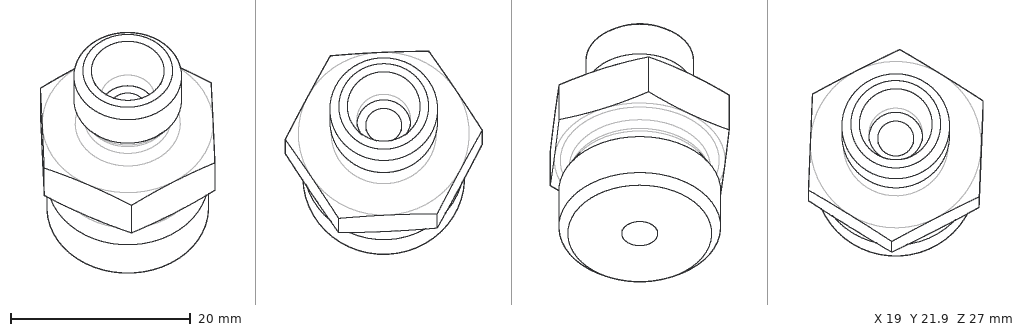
import cadquery as cq
import math

total_height = 27.0
hex_across_flats = 19.0
hex_bottom = 11.0
hex_top = 17.0
hex_chamfer_angle = math.radians(15)

end_chamfer = 1.0
bore_diameter = 4.0

neck_fillet = 1.0
neck_cone_angle = math.radians(30)

large_diameter = 18.0
large_neck_diameter = 15.7
large_thread_top = 6.4

small_diameter = 12.0
small_neck_diameter = 9.7
small_thread_bottom = 21.55

socket_mouth_diameter = 8.1
socket_diameter = 6.0
socket_depth = 7.0
socket_half_angle = math.radians(12)


def make_threaded_end(thread_diameter, neck_diameter, thread_length, neck_end):
    """Revolve one end, standing on Z = 0 with its neck flaring into a hexagon face at neck_end."""
    thread_radius = thread_diameter / 2
    neck_radius = neck_diameter / 2
    flare_radius = neck_radius + neck_fillet
    quarter_sag = neck_fillet * (1 - math.sqrt(0.5))

    cone_length = (thread_radius - neck_radius) / math.tan(neck_cone_angle)
    corner_height = thread_length + cone_length
    tangent_length = neck_fillet * math.tan(neck_cone_angle / 2)
    arc_end = corner_height + tangent_length
    arc_start_radius = neck_radius + tangent_length * math.sin(neck_cone_angle)
    arc_start = corner_height - tangent_length * math.cos(neck_cone_angle)
    arc_middle_radius = neck_radius + neck_fillet * (1 - math.cos(neck_cone_angle / 2))
    arc_middle = arc_end - neck_fillet * math.sin(neck_cone_angle / 2)

    return (
        cq.Workplane("XZ")
        .lineTo(thread_radius - end_chamfer, 0)
        .lineTo(thread_radius, end_chamfer)
        .lineTo(thread_radius, thread_length)
        .lineTo(arc_start_radius, arc_start)
        .threePointArc((arc_middle_radius, arc_middle), (neck_radius, arc_end))
        .lineTo(neck_radius, neck_end - neck_fillet)
        .threePointArc((neck_radius + quarter_sag, neck_end - quarter_sag), (flare_radius, neck_end))
        .lineTo(0, neck_end)
        .close()
        .revolve(360, (0, 0, 0), (0, 1, 0))
    )


def make_hexagon():
    """Hexagon with corners on the Y axis, its corners turned conical at both faces."""
    face_radius = hex_across_flats / 2
    corner_radius = face_radius / math.cos(math.pi / 6)
    corner_drop = (corner_radius - face_radius) * math.tan(hex_chamfer_angle)
    prism = (
        cq.Workplane("XY", origin=(0, 0, hex_bottom))
        .polygon(6, 2 * corner_radius)
        .extrude(hex_top - hex_bottom)
        .rotate((0, 0, 0), (0, 0, 1), 90)
    )
    envelope = (
        cq.Workplane("XZ")
        .moveTo(0, hex_bottom)
        .lineTo(face_radius, hex_bottom)
        .lineTo(corner_radius, hex_bottom + corner_drop)
        .lineTo(corner_radius, hex_top - corner_drop)
        .lineTo(face_radius, hex_top)
        .lineTo(0, hex_top)
        .close()
        .revolve(360, (0, 0, 0), (0, 1, 0))
    )
    return prism.intersect(envelope)


def make_passage():
    """Through bore with a stepped socket and a conical mouth at the upper end."""
    mouth_radius = socket_mouth_diameter / 2
    socket_radius = socket_diameter / 2
    bore_radius = bore_diameter / 2
    cone_depth = (mouth_radius - socket_radius) / math.tan(socket_half_angle)
    return (
        cq.Workplane("XZ")
        .lineTo(bore_radius, 0)
        .lineTo(bore_radius, total_height - socket_depth)
        .lineTo(socket_radius, total_height - socket_depth)
        .lineTo(socket_radius, total_height - cone_depth)
        .lineTo(mouth_radius, total_height)
        .lineTo(0, total_height)
        .close()
        .revolve(360, (0, 0, 0), (0, 1, 0))
    )


lower_end = make_threaded_end(large_diameter, large_neck_diameter, large_thread_top, hex_bottom)

upper_end = (
    make_threaded_end(
        small_diameter,
        small_neck_diameter,
        total_height - small_thread_bottom,
        total_height - hex_top,
    )
    .rotate((0, 0, 0), (1, 0, 0), 180)
    .translate((0, 0, total_height))
)

result = make_hexagon().union(lower_end).union(upper_end).cut(make_passage())